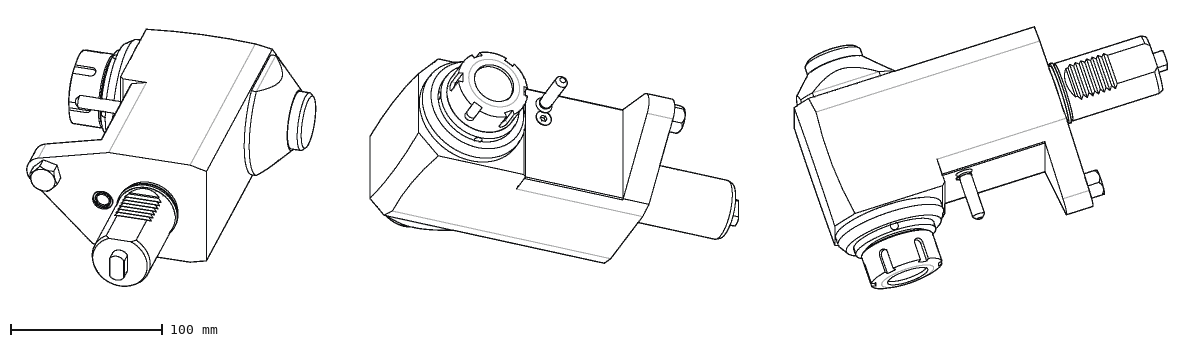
import cadquery as cq
import math


HALF_HEIGHT = 38.0
OVERALL_LENGTH = 245.0
BODY_LENGTH = 167.0
BODY_RIGHT = 39.2
HEAD_LEFT = -46.3
HEAD_FRONT = 90.0
HEAD_EDGE_CHAMFER = 2.2
FLAT_HALF_WIDTH = 28.0
BEVEL_ANGLE = math.radians(15)
BEVEL_END_Z = HALF_HEIGHT - (BODY_RIGHT - FLAT_HALF_WIDTH) * math.tan(BEVEL_ANGLE)
WALL_X = -38.7
PLATE_THICKNESS = 18.4
RELIEF_DEPTH = 61.2
EDGE_BREAK = 0.7

LOBE_X = -73.5
LOBE_Z = 14.7
LOBE_RADIUS = 10.8

CROWN_RADIUS = 269.5
CROWN_BACK_Y = 157.0
CROWN_SLOPE = 0.93

SPINDLE_Y = 130.0
COLLAR_RADIUS = 36.8
COLLAR_BACK_X = -47.0
COLLAR_GAP_RADIUS = 34.3
COLLAR_RIM_X = -52.2
COLLAR_FACE_X = -58.3
COLLAR_FACE_RADIUS = 33.0
DISK_FACE_X = -62.7
DISK_RADIUS = 28.0
NECK_RADIUS = 21.0
NUT_BACK_X = -64.7
NUT_BACK_CHAMFER = 0.7
NUT_RIM_X = -85.8
NUT_FACE_X = -87.7
NUT_RADIUS = 24.7
NUT_FACE_RADIUS = 18.1
BORE_RADIUS = 14.0
BORE_DEPTH = 2.5
SLOT_COUNT = 6
SLOT_WIDTH = 6.4
SLOT_DEPTH = 3.0
SLOT_END_X = -70.8
SPANNER_HOLE_COUNT = 4
SPANNER_HOLE_RADIUS = 2.7
SPANNER_HOLE_X = -59.8
SPANNER_HOLE_DEPTH = 2.7

CAP_RADIUS = 40.2
CAP_RIM_X = 42.6
CAP_HUB_X = 63.0
CAP_HUB_SHOULDER_RADIUS = 20.3
HUB_RADIUS = 19.4
HUB_RIM_X = 69.5
HUB_END_X = 71.8
HUB_END_RADIUS = 17.5
CAP_BACK_FLAT = 31.4
CAP_HALF_HEIGHT = 32.8

SHANK_DIAMETER = 40.0
SHANK_RADIUS = SHANK_DIAMETER / 2
SHANK_END_Y = -70.0
SHANK_START_Y = -7.4
SHANK_CHAMFER_LENGTH = 3.0
SHANK_CHAMFER_DEPTH = 1.2
SHANK_NECK_RADIUS = 19.0
SHANK_ROOT_RADIUS = 19.5
SHANK_ROOT_END_Y = -2.0
SEAL_RADIUS = 20.8
SEAL_START_Y = -4.2
SEAL_END_Y = -6.0
SHANK_FLAT_Z = 17.2
RAMP_START_Y = -8.8
RAMP_END_Y = -12.2
VALLEY_COUNT = 7
VALLEY_PITCH = 4.0
FIRST_VALLEY_Y = -15.7
VALLEY_Z = 15.5
TANG_END_Y = BODY_LENGTH - OVERALL_LENGTH
TANG_HALF_WIDTH = 5.1
TANG_HALF_HEIGHT = 9.3
TANG_SHOULDER_Z = 6.1
TANG_CHAMFER = 0.5

BOLT_X = -70.3
BOLT_Z = 15.0
BOLT_CORNER_RADIUS = 9.8
BOLT_HEAD_HEIGHT = 9.8
BOLT_CHAMFER_HEIGHT = 2.0
BOLT_CHAMFER_WIDTH = 1.5
BOLT_TURN = 15
PORT_X = -32.0
PORT_RADIUS = 6.9
PORT_RING_RADIUS = 5.5
PORT_HOLE_RADIUS = 4.5
PORT_DEPTH = 1.5
FITTING_Y = 74.7
PIN_Z = 25.0
PIN_RADIUS = 4.2
PIN_TIP_X = -71.8
PIN_TIP_CHAMFER = 2.2
PIN_NECK_RADIUS = 3.7
PIN_NECK_END_X = -41.2
PIN_FLANGE_RADIUS = 5.6
PIN_FLANGE_END_X = -40.0
PLUG_Z = 15.0
PLUG_RADIUS = 5.5
PLUG_RECESS = 0.5
SOCKET_CORNER_DIAMETER = 4.7
SOCKET_DEPTH = 3.0

OVERLAP = 2.5


def revolve_about_spindle(points):
    """Turn (x, radius) points about the spindle axis."""
    outline = [(x, SPINDLE_Y + radius) for x, radius in points]
    return cq.Workplane("XY").polyline(outline).close().revolve(
        360, (0, SPINDLE_Y, 0), (1, SPINDLE_Y, 0))


def along_y(start_y, x=0, z=0):
    """Plane at (x, start_y, z) with X to the right, Z up and its normal toward -Y."""
    return cq.Workplane("XZ", origin=(x, start_y, z))


def along_x(start_x, y, z):
    """Plane at (start_x, y, z) facing the -X side."""
    return cq.Workplane(cq.Plane((start_x, y, z), xDir=(0, -1, 0), normal=(-1, 0, 0)))


def make_body():
    diagonal = math.radians(45)
    middle = (diagonal - BEVEL_ANGLE) / 2
    upper_tangent = (LOBE_X - LOBE_RADIUS * math.sin(BEVEL_ANGLE),
                     LOBE_Z + LOBE_RADIUS * math.cos(BEVEL_ANGLE))
    lobe_middle = (LOBE_X - LOBE_RADIUS * math.cos(middle),
                   LOBE_Z + LOBE_RADIUS * math.sin(middle))
    lower_tangent = (LOBE_X - LOBE_RADIUS * math.sin(diagonal),
                     LOBE_Z - LOBE_RADIUS * math.cos(diagonal))
    lower_corner_x = lower_tangent[0] + lower_tangent[1] + BEVEL_END_Z
    plate_and_wall = (
        along_y(HEAD_FRONT + OVERLAP)
        .moveTo(FLAT_HALF_WIDTH, HALF_HEIGHT)
        .lineTo(-FLAT_HALF_WIDTH, HALF_HEIGHT)
        .lineTo(*upper_tangent)
        .threePointArc(lobe_middle, lower_tangent)
        .lineTo(lower_corner_x, -BEVEL_END_Z)
        .lineTo(-FLAT_HALF_WIDTH, -HALF_HEIGHT)
        .lineTo(FLAT_HALF_WIDTH, -HALF_HEIGHT)
        .lineTo(BODY_RIGHT, -BEVEL_END_Z)
        .lineTo(BODY_RIGHT, BEVEL_END_Z)
        .close()
        .extrude(HEAD_FRONT + OVERLAP)
    )
    relief_length = HEAD_FRONT + OVERLAP - PLATE_THICKNESS
    relief = (
        cq.Workplane("XY", origin=(WALL_X - RELIEF_DEPTH, PLATE_THICKNESS, 0))
        .box(RELIEF_DEPTH, relief_length, 2 * HALF_HEIGHT, centered=(False, False, True))
    )
    plate_and_wall = plate_and_wall.cut(relief)
    wall_edges = cq.selectors.BoxSelector(
        (WALL_X - EDGE_BREAK, PLATE_THICKNESS, -HALF_HEIGHT),
        (WALL_X + EDGE_BREAK, HEAD_FRONT, HALF_HEIGHT))
    plate_and_wall = plate_and_wall.edges(wall_edges).edges("|Y").chamfer(EDGE_BREAK)

    head = (
        along_y(BODY_LENGTH)
        .polyline([(HEAD_LEFT, HALF_HEIGHT), (FLAT_HALF_WIDTH, HALF_HEIGHT),
                   (BODY_RIGHT, BEVEL_END_Z), (BODY_RIGHT, -BEVEL_END_Z),
                   (FLAT_HALF_WIDTH, -HALF_HEIGHT), (HEAD_LEFT, -HALF_HEIGHT)])
        .close()
        .extrude(BODY_LENGTH - HEAD_FRONT)
        .edges("<X and <Y").chamfer(HEAD_EDGE_CHAMFER)
    )
    crown_mid_radius = CROWN_RADIUS + CROWN_SLOPE * HALF_HEIGHT
    crown_center_y = CROWN_BACK_Y - CROWN_RADIUS
    crown = (
        cq.Workplane("XZ", origin=(0, crown_center_y, 0))
        .polyline([(0, -HALF_HEIGHT), (CROWN_RADIUS, -HALF_HEIGHT), (crown_mid_radius, 0),
                   (CROWN_RADIUS, HALF_HEIGHT), (0, HALF_HEIGHT)])
        .close()
        .revolve(360, (0, 0, 0), (0, 1, 0))
    )
    return plate_and_wall.union(head.intersect(crown))


def make_spindle_nose():
    nose = revolve_about_spindle([
        (HEAD_LEFT + OVERLAP, 0),
        (HEAD_LEFT + OVERLAP, COLLAR_GAP_RADIUS),
        (COLLAR_BACK_X, COLLAR_GAP_RADIUS),
        (COLLAR_BACK_X, COLLAR_RADIUS),
        (COLLAR_RIM_X, COLLAR_RADIUS),
        (COLLAR_FACE_X, COLLAR_FACE_RADIUS),
        (COLLAR_FACE_X, DISK_RADIUS),
        (DISK_FACE_X, DISK_RADIUS),
        (DISK_FACE_X, NECK_RADIUS),
        (NUT_BACK_X, NECK_RADIUS),
        (NUT_BACK_X, NUT_RADIUS - NUT_BACK_CHAMFER),
        (NUT_BACK_X - NUT_BACK_CHAMFER, NUT_RADIUS),
        (NUT_RIM_X, NUT_RADIUS),
        (NUT_FACE_X, NUT_FACE_RADIUS),
        (NUT_FACE_X, BORE_RADIUS),
        (NUT_FACE_X + BORE_DEPTH, BORE_RADIUS),
        (NUT_FACE_X + BORE_DEPTH, 0),
    ])
    axis_start = (0, SPINDLE_Y, 0)
    axis_end = (1, SPINDLE_Y, 0)

    slot_floor = NUT_RADIUS - SLOT_DEPTH
    straight_end = SLOT_END_X - SLOT_WIDTH / 2
    slot = (
        cq.Workplane("XY", origin=(0, SPINDLE_Y, slot_floor))
        .moveTo(NUT_FACE_X - OVERLAP, -SLOT_WIDTH / 2)
        .lineTo(straight_end, -SLOT_WIDTH / 2)
        .threePointArc((SLOT_END_X, 0), (straight_end, SLOT_WIDTH / 2))
        .lineTo(NUT_FACE_X - OVERLAP, SLOT_WIDTH / 2)
        .close()
        .extrude(SLOT_DEPTH + OVERLAP)
    )
    for i in range(SLOT_COUNT):
        nose = nose.cut(slot.rotate(axis_start, axis_end, 90 + i * 360 / SLOT_COUNT))

    spanner_hole = cq.Workplane(obj=cq.Solid.makeCone(
        0, SPANNER_HOLE_RADIUS, SPANNER_HOLE_DEPTH,
        pnt=cq.Vector(SPANNER_HOLE_X, SPINDLE_Y, DISK_RADIUS - SPANNER_HOLE_DEPTH),
        dir=cq.Vector(0, 0, 1)))
    for i in range(SPANNER_HOLE_COUNT):
        nose = nose.cut(spanner_hole.rotate(axis_start, axis_end, i * 360 / SPANNER_HOLE_COUNT))
    return nose


def make_end_cap():
    cap = revolve_about_spindle([
        (BODY_RIGHT - OVERLAP, 0),
        (BODY_RIGHT - OVERLAP, CAP_RADIUS),
        (CAP_RIM_X, CAP_RADIUS),
        (CAP_HUB_X, CAP_HUB_SHOULDER_RADIUS),
        (CAP_HUB_X, HUB_RADIUS),
        (HUB_RIM_X, HUB_RADIUS),
        (HUB_END_X, HUB_END_RADIUS),
        (HUB_END_X, 0),
    ])
    end_z = CAP_HALF_HEIGHT - (HUB_END_X - CAP_RIM_X) * math.tan(BEVEL_ANGLE)
    envelope = (
        along_y(SPINDLE_Y + CAP_BACK_FLAT)
        .polyline([(BODY_RIGHT - OVERLAP, CAP_HALF_HEIGHT), (CAP_RIM_X, CAP_HALF_HEIGHT),
                   (HUB_END_X, end_z), (HUB_END_X, -end_z),
                   (CAP_RIM_X, -CAP_HALF_HEIGHT), (BODY_RIGHT - OVERLAP, -CAP_HALF_HEIGHT)])
        .close()
        .extrude(CAP_BACK_FLAT + CAP_RADIUS)
    )
    return cap.intersect(envelope)


def make_shank():
    shank = (
        cq.Workplane("XY")
        .polyline([(0, OVERLAP), (SHANK_ROOT_RADIUS, OVERLAP),
                   (SHANK_ROOT_RADIUS, SHANK_ROOT_END_Y), (SHANK_NECK_RADIUS, SHANK_ROOT_END_Y),
                   (SHANK_NECK_RADIUS, SEAL_START_Y), (SEAL_RADIUS, SEAL_START_Y),
                   (SEAL_RADIUS, SEAL_END_Y), (SHANK_NECK_RADIUS, SEAL_END_Y),
                   (SHANK_NECK_RADIUS, SHANK_START_Y), (SHANK_RADIUS, SHANK_START_Y),
                   (SHANK_RADIUS, SHANK_END_Y + SHANK_CHAMFER_LENGTH),
                   (SHANK_RADIUS - SHANK_CHAMFER_DEPTH, SHANK_END_Y), (0, SHANK_END_Y)])
        .close()
        .revolve(360, (0, 0, 0), (0, 1, 0))
    )
    cutter_points = [
        (RAMP_START_Y, SHANK_RADIUS),
        (RAMP_END_Y, SHANK_FLAT_Z),
        (FIRST_VALLEY_Y + VALLEY_PITCH / 2, SHANK_FLAT_Z),
    ]
    for i in range(VALLEY_COUNT):
        valley_y = FIRST_VALLEY_Y - i * VALLEY_PITCH
        cutter_points += [(valley_y, VALLEY_Z), (valley_y - VALLEY_PITCH / 2, SHANK_FLAT_Z)]
    cutter_points += [
        (SHANK_END_Y - OVERLAP, SHANK_FLAT_Z),
        (SHANK_END_Y - OVERLAP, SHANK_RADIUS),
    ]
    teeth = cq.Workplane("YZ").polyline(cutter_points).close().extrude(SHANK_RADIUS, both=True)

    tang = (
        along_y(SHANK_END_Y + OVERLAP)
        .moveTo(-TANG_HALF_WIDTH, -TANG_SHOULDER_Z)
        .lineTo(-TANG_HALF_WIDTH, TANG_SHOULDER_Z)
        .threePointArc((0, TANG_HALF_HEIGHT), (TANG_HALF_WIDTH, TANG_SHOULDER_Z))
        .lineTo(TANG_HALF_WIDTH, -TANG_SHOULDER_Z)
        .threePointArc((0, -TANG_HALF_HEIGHT), (-TANG_HALF_WIDTH, -TANG_SHOULDER_Z))
        .close()
        .extrude(SHANK_END_Y + OVERLAP - TANG_END_Y)
        .faces("<Y").edges("|Z").chamfer(TANG_CHAMFER)
    )
    return shank.cut(teeth).union(tang)


def make_bolt_head():
    height = BOLT_HEAD_HEIGHT + OVERLAP
    hexagon = (
        along_y(OVERLAP)
        .polygon(6, 2 * BOLT_CORNER_RADIUS)
        .extrude(height)
        .rotate((0, 0, 0), (0, 1, 0), BOLT_TURN)
    )
    turned_blank = (
        along_y(BOLT_CHAMFER_HEIGHT - BOLT_HEAD_HEIGHT)
        .circle(BOLT_CORNER_RADIUS)
        .workplane(offset=BOLT_CHAMFER_HEIGHT)
        .circle(BOLT_CORNER_RADIUS - BOLT_CHAMFER_WIDTH)
        .loft()
        .union(along_y(OVERLAP).circle(BOLT_CORNER_RADIUS).extrude(height - BOLT_CHAMFER_HEIGHT))
    )
    return hexagon.intersect(turned_blank).translate((BOLT_X, 0, BOLT_Z))


def make_pin():
    """Pin with a chamfered tip, a short neck and a conical foot, turned about an axis along X."""
    root_x = WALL_X + OVERLAP
    outline = [
        (root_x, 0),
        (root_x, PIN_FLANGE_RADIUS),
        (WALL_X, PIN_FLANGE_RADIUS),
        (PIN_FLANGE_END_X, PIN_NECK_RADIUS),
        (PIN_NECK_END_X, PIN_NECK_RADIUS),
        (PIN_NECK_END_X, PIN_RADIUS),
        (PIN_TIP_X + PIN_TIP_CHAMFER, PIN_RADIUS),
        (PIN_TIP_X, PIN_RADIUS - PIN_TIP_CHAMFER),
        (PIN_TIP_X, 0),
    ]
    pin = cq.Workplane("XY").polyline(outline).close().revolve(360, (0, 0, 0), (1, 0, 0))
    return pin.translate((0, FITTING_Y, PIN_Z))


def make_plug_recess():
    recess = along_x(WALL_X + PLUG_RECESS, FITTING_Y, PLUG_Z).circle(PLUG_RADIUS).extrude(OVERLAP)
    socket = (
        along_x(WALL_X + SOCKET_DEPTH, FITTING_Y, PLUG_Z)
        .polygon(6, SOCKET_CORNER_DIAMETER)
        .extrude(SOCKET_DEPTH)
    )
    return recess.union(socket)


def make_port():
    """Ring-shaped groove around a shallow hole, in the mounting face."""
    groove = along_y(PORT_DEPTH, PORT_X).circle(PORT_RADIUS).circle(PORT_RING_RADIUS).extrude(PORT_DEPTH)
    hole = along_y(PORT_DEPTH, PORT_X).circle(PORT_HOLE_RADIUS).extrude(PORT_DEPTH)
    return groove.union(hole)


body = make_body().cut(make_plug_recess()).cut(make_port())
result = (
    body
    .union(make_spindle_nose())
    .union(make_end_cap())
    .union(make_shank())
    .union(make_bolt_head())
    .union(make_pin())
)